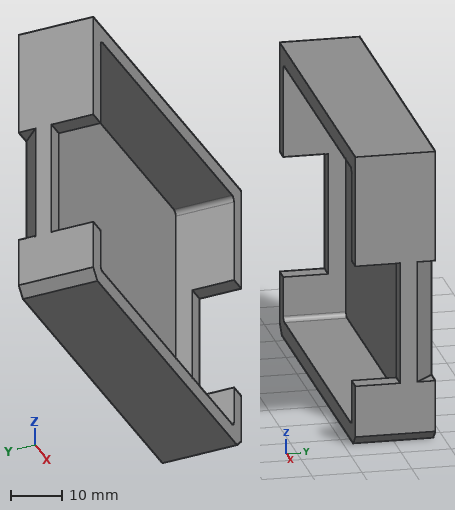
import cadquery as cq

width = 70.0
depth = 16.0
height = 60.0
corner_chamfer = 2.0

wall = 3.5
floor_thickness = 3.5
pocket_corner_radius = 1.0

notch_bottom = 12.5
notch_top = 37.4
notch_depth = 8.95
back_bevel = 3.65


def outer_block():
    """Block with its two lower side corners chamfered."""
    block = cq.Workplane("XY").box(width, depth, height, centered=(True, False, False))
    return block.faces("<Z").edges("|Y").chamfer(corner_chamfer)


def pocket():
    """Rounded rectangular pocket that leaves a floor at the back."""
    pocket_depth = depth - floor_thickness
    block = cq.Workplane("XY").box(
        width - 2 * wall, pocket_depth, height - 2 * wall, centered=(True, False, False)
    )
    return block.edges("|Y").fillet(pocket_corner_radius).translate((0, 0, wall))


def side_notch(side):
    """Opening from the front edge through one side wall (side is -1 or 1)."""
    notch_height = notch_top - notch_bottom
    notch = cq.Workplane("XY").box(wall, notch_depth, notch_height, centered=(True, False, False))
    return notch.translate((side * (width - wall) / 2, 0, notch_bottom))


def side_bevel(side):
    """Bevel on the rear side edge, along the notch height (side is -1 or 1)."""
    edge = side * width / 2
    profile = [(edge, depth), (edge - side * back_bevel, depth), (edge, depth - back_bevel)]
    return (
        cq.Workplane("XY", origin=(0, 0, notch_bottom))
        .polyline(profile)
        .close()
        .extrude(notch_top - notch_bottom)
    )


result = outer_block().cut(pocket())
for side in (-1, 1):
    result = result.cut(side_notch(side)).cut(side_bevel(side))